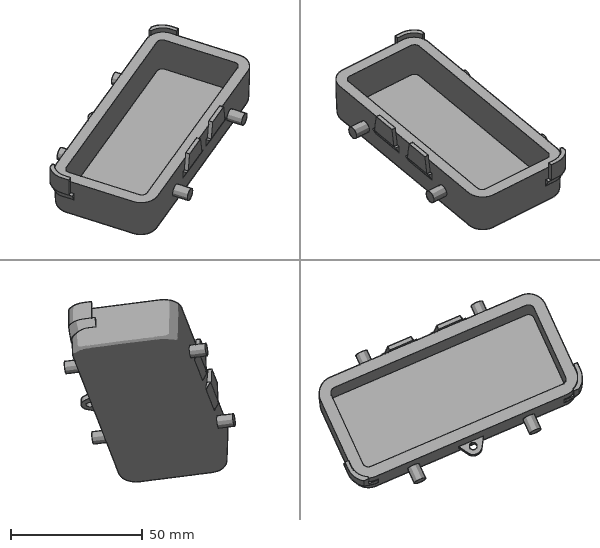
import cadquery as cq
import math

rim_width = 42.8
rim_length = 93.7
rim_top_z = 17.5
seam_z = 12.0
base_inset = 0.3
corner_radius = 7.0
base_fillet = 1.8

cavity_width = 34.1
cavity_length = 84.5
cavity_corner_radius = 2.3
floor_thickness = 2.8

pin_span = 55.0
pin_diameter = 4.8
pin_y = 24.0
pin_z = 7.9

eyelet_x = -23.4
eyelet_radius = 3.4
eyelet_hole_diameter = 2.9
eyelet_flare_angle = 31
eyelet_bottom_z = 6.4
eyelet_thickness = 2.2

projection_top_z = 19.7
support_bottom_z = 7.9
support_run = 2.1

guard_reach_y = 48.45
guard_side_x = -21.7
guard_arc_x = -15.0
guard_radius = 8.0
guard_end_x = -12.0
guard_end_y = 42.7
guard_support_end_x = -10.6
guard_support_end_y = 38.7
guard_support_bottom_radius = 6.7

tab_spacing = 20.4
tab_outer_x = 23.1
tab_top_width = 9.7
tab_base_width = 12.2
tab_support_width = 14.3

half_width = rim_width / 2
root_depth = 3.4


def rounded_block(width, length, radius, bottom_z, top_z):
    block = cq.Workplane("XY", origin=(0, 0, bottom_z)).rect(width, length).extrude(top_z - bottom_z)
    return block.edges("|Z").fillet(radius)


def rounded_outline(width, length, radius):
    return cq.Sketch().rect(width, length).vertices().fillet(radius)


def make_body():
    rim = rounded_block(rim_width, rim_length, corner_radius, seam_z, rim_top_z)
    base_outline = rounded_outline(rim_width - 2 * base_inset, rim_length - 2 * base_inset, corner_radius)
    seam_outline = rounded_outline(rim_width, rim_length, corner_radius)
    lower = (
        cq.Workplane("XY")
        .placeSketch(base_outline, seam_outline.moved(cq.Location(cq.Vector(0, 0, seam_z))))
        .loft(ruled=True)
    )
    lower = lower.faces("<Z").edges().fillet(base_fillet)
    return lower.union(rim)


def make_cavity():
    return rounded_block(
        cavity_width, cavity_length, cavity_corner_radius, floor_thickness, rim_top_z
    )


def make_pin(side, y):
    start_x = side * (half_width - root_depth)
    length = pin_span / 2 - abs(start_x)
    return cq.Workplane("YZ", origin=(start_x, y, pin_z)).circle(pin_diameter / 2).extrude(side * length)


def make_eyelet():
    angle = math.radians(eyelet_flare_angle)
    tangent_x = eyelet_x - eyelet_radius * math.sin(angle)
    tangent_y = eyelet_radius * math.cos(angle)
    root_x = root_depth - half_width
    root_y = tangent_y + (root_x - tangent_x) * math.tan(angle)
    return (
        cq.Workplane("XY", origin=(0, 0, eyelet_bottom_z))
        .moveTo(root_x, root_y)
        .lineTo(tangent_x, tangent_y)
        .threePointArc((eyelet_x - eyelet_radius, 0), (tangent_x, -tangent_y))
        .lineTo(root_x, -root_y)
        .close()
        .extrude(eyelet_thickness)
    )


def make_eyelet_hole():
    return (
        cq.Workplane("XY", origin=(eyelet_x, 0, eyelet_bottom_z))
        .circle(eyelet_hole_diameter / 2)
        .extrude(eyelet_thickness)
    )


def draw_corner_outline(plane, reach_y, radius, end_x, end_y):
    arc_y = reach_y - radius
    diagonal = radius * math.sqrt(0.5)
    return (
        plane.moveTo(end_x, end_y)
        .lineTo(end_x, reach_y)
        .lineTo(guard_arc_x, reach_y)
        .threePointArc(
            (guard_arc_x - diagonal, arc_y + diagonal), (guard_arc_x - radius, arc_y)
        )
        .lineTo(guard_arc_x - radius, end_y)
        .close()
    )


def make_guard_trim(end_y):
    return cq.Workplane("XY", origin=(guard_side_x, end_y, 0)).box(
        abs(guard_side_x), guard_reach_y - end_y, projection_top_z, centered=False
    )


def make_guard():
    wall_plane = cq.Workplane("XY", origin=(0, 0, seam_z))
    wall = draw_corner_outline(
        wall_plane, guard_reach_y, guard_radius, guard_end_x, guard_support_end_y
    ).extrude(projection_top_z - seam_z)
    wall = wall.cut(rounded_block(rim_width, rim_length, corner_radius, seam_z, projection_top_z))
    wall = wall.intersect(make_guard_trim(guard_end_y))

    lower_plane = cq.Workplane("XY", origin=(0, 0, support_bottom_z))
    support = draw_corner_outline(
        lower_plane,
        guard_reach_y - support_run,
        guard_support_bottom_radius,
        guard_support_end_x,
        guard_support_end_y,
    ).workplane(offset=seam_z - support_bottom_z)
    support = draw_corner_outline(
        support, guard_reach_y, guard_radius, guard_support_end_x, guard_support_end_y
    ).loft(ruled=True)
    return wall.union(support.intersect(make_guard_trim(guard_support_end_y)))


def make_tab(y):
    wall = (
        cq.Workplane("YZ", origin=(half_width, y, 0))
        .moveTo(-tab_base_width / 2, seam_z)
        .lineTo(tab_base_width / 2, seam_z)
        .lineTo(tab_top_width / 2, projection_top_z)
        .lineTo(-tab_top_width / 2, projection_top_z)
        .close()
        .extrude(tab_outer_x - half_width)
    )
    root_x = half_width - root_depth
    support = (
        cq.Workplane("XZ", origin=(0, y, 0))
        .moveTo(root_x, support_bottom_z)
        .lineTo(tab_outer_x - support_run, support_bottom_z)
        .lineTo(tab_outer_x, seam_z)
        .lineTo(root_x, seam_z)
        .close()
        .extrude(tab_support_width / 2, both=True)
    )
    return wall.union(support)


result = make_body()
for y in (-pin_y, pin_y):
    for side in (-1, 1):
        result = result.union(make_pin(side, y))

result = result.union(make_eyelet())

guard = make_guard()
result = result.union(guard).union(guard.mirror("XZ"))

for y in (-tab_spacing / 2, tab_spacing / 2):
    result = result.union(make_tab(y))

result = result.cut(make_cavity()).cut(make_eyelet_hole())